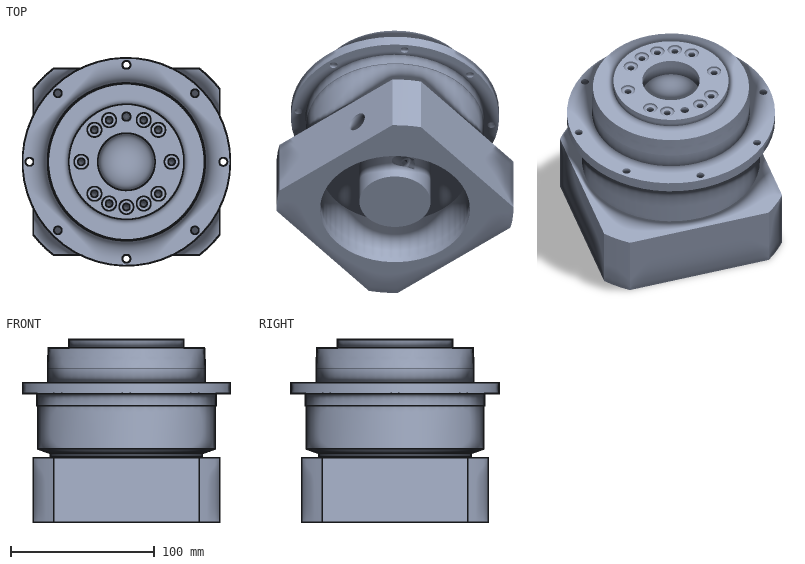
import cadquery as cq
import math

total_height = 127.5
flange_dia = 145.0
boss_dia = 80.2
shoulder_top_dia = 108.8
shoulder_dia = 110.0
collar_dia = 125.0
barrel_dia = 124.0
neck_dia = 106.0
spigot_dia = 104.4

spigot_bottom = 40.6
neck_bottom = 45.5
neck_top = 48.0
barrel_bottom = 51.2
collar_bottom = 81.0
flange_bottom = 89.6
flange_top = 97.3
taper_start = 107.5
shoulder_top = 121.5

block_height = 45.1
block_width = 130.0
block_corner_dia = 165.0
access_hole_dia = 14.0
access_hole_height = 23.5

flange_hole_dia = 5.5
flange_hole_circle = 135.0
flange_hole_count = 8
output_bore_dia = 40.0
output_bore_depth = 12.6
output_hole_circle = 63.0
tapped_hole_dia = 5.0
tapped_hole_depth = 13.0
drill_point_angle = 118.0
counterbore_dia = 10.0
counterbore_depth = 1.5
tapped_hole_angles = [0, 45, 67.5, 112.5, 135, 180, 225, 247.5, 270, 292.5, 315]
dowel_hole_angle = 90
dowel_hole_dia = 6.0
dowel_hole_depth = 7.2

hub_dia = 49.6
hub_bottom = 7.2
screw_y = -19.0
screw_height = 23.0
screw_seat_x = -7.4
screw_slot_width = 10.2
screw_head_dia = screw_slot_width
screw_head_height = 6.0
screw_head_chamfer = 1.0
screw_shank_dia = 6.0
screw_shank_length = 14.5
socket_flats = 5.1
socket_depth = 2.9


def cylinder_up(diameter, height, x=0.0, y=0.0, z=0.0):
    """Upright cylinder standing on height z."""
    return cq.Workplane("XY", origin=(x, y, z)).circle(diameter / 2).extrude(height)


def cylinder_along_x(diameter, length, x, y, z):
    """Cylinder that starts at x and runs toward +X."""
    return cq.Workplane("YZ", origin=(x, y, z)).circle(diameter / 2).extrude(length)


def on_circle(circle_dia, angle):
    """Point at the given angle in degrees on a circle about the Z axis."""
    turn = math.radians(angle)
    return circle_dia / 2 * math.cos(turn), circle_dia / 2 * math.sin(turn)


def make_round_stages():
    """Revolved gearbox case, from the neck up to the output boss."""
    profile = [
        (0, neck_bottom),
        (neck_dia / 2, neck_bottom),
        (neck_dia / 2, neck_top),
        (barrel_dia / 2, barrel_bottom),
        (barrel_dia / 2, collar_bottom),
        (collar_dia / 2, collar_bottom),
        (collar_dia / 2, flange_bottom),
        (flange_dia / 2, flange_bottom),
        (flange_dia / 2, flange_top),
        (shoulder_dia / 2, flange_top),
        (shoulder_dia / 2, taper_start),
        (shoulder_top_dia / 2, shoulder_top),
        (boss_dia / 2, shoulder_top),
        (boss_dia / 2, total_height),
        (0, total_height),
    ]
    return cq.Workplane("XZ").polyline(profile).close().revolve(360, (0, 0, 0), (0, 1, 0))


def make_tapped_hole_cutter(angle):
    """Shallow counterbore, drilled hole and its conical drill point."""
    x, y = on_circle(output_hole_circle, angle)
    radius = tapped_hole_dia / 2
    floor = total_height - tapped_hole_depth
    tip = floor - radius / math.tan(math.radians(drill_point_angle / 2))
    counterbore_floor = total_height - counterbore_depth
    profile = [
        (0, tip),
        (radius, floor),
        (radius, counterbore_floor),
        (counterbore_dia / 2, counterbore_floor),
        (counterbore_dia / 2, total_height),
        (0, total_height),
    ]
    cutter = cq.Workplane("XZ").polyline(profile).close().revolve(360, (0, 0, 0), (0, 1, 0))
    return cutter.translate((x, y, 0))


def make_clamp_hub():
    """Round hub below the spigot, with a round-ended slot that seats the screw head."""
    hub = cylinder_up(hub_dia, spigot_bottom - hub_bottom, z=hub_bottom)
    slot_length = hub_dia / 2
    slot_start_x = screw_seat_x - slot_length
    round_end = cylinder_along_x(screw_slot_width, slot_length, slot_start_x, screw_y, screw_height)
    open_end = cq.Workplane("XY").box(
        slot_length, slot_length, screw_slot_width, centered=(False, False, True)
    )
    open_end = open_end.translate((slot_start_x, screw_y - slot_length, screw_height))
    shank_hole = cylinder_along_x(screw_shank_dia, screw_shank_length, screw_seat_x, screw_y, screw_height)
    return hub.cut(round_end).cut(open_end).cut(shank_hole)


def make_gearbox():
    """Gearbox case with its clamp hub; its spigot enters the block and leaves the neck just clear of it."""
    spigot = cylinder_up(spigot_dia, neck_bottom - spigot_bottom, z=spigot_bottom)
    gearbox = make_round_stages().union(spigot).union(make_clamp_hub())

    for index in range(flange_hole_count):
        x, y = on_circle(flange_hole_circle, index * 360 / flange_hole_count)
        gearbox = gearbox.cut(cylinder_up(flange_hole_dia, flange_top - flange_bottom, x, y, flange_bottom))

    gearbox = gearbox.cut(
        cylinder_up(output_bore_dia, output_bore_depth, z=total_height - output_bore_depth)
    )
    for angle in tapped_hole_angles:
        gearbox = gearbox.cut(make_tapped_hole_cutter(angle))
    x, y = on_circle(output_hole_circle, dowel_hole_angle)
    return gearbox.cut(cylinder_up(dowel_hole_dia, dowel_hole_depth, x, y, total_height - dowel_hole_depth))


def make_motor_block():
    """Square block with a through bore; one large circle about the Z axis rounds its four corners."""
    block = cq.Workplane("XY").rect(block_width, block_width).extrude(block_height)
    block = block.intersect(cylinder_up(block_corner_dia, block_height))
    block = block.cut(cylinder_up(spigot_dia, block_height))
    return block.cut(
        cylinder_along_x(access_hole_dia, block_width / 2, -block_width / 2, screw_y, access_hole_height)
    )


def make_clamp_screw():
    """Socket head screw along X, its head facing -X."""
    head_top_x = screw_seat_x - screw_head_height
    head = cylinder_along_x(screw_head_dia, screw_head_height, head_top_x, screw_y, screw_height)
    head = head.faces("<X").chamfer(screw_head_chamfer)
    shank = cylinder_along_x(screw_shank_dia, screw_shank_length, screw_seat_x, screw_y, screw_height)
    corner_dia = socket_flats / math.cos(math.pi / 6)
    socket = cq.Workplane("YZ").polygon(6, corner_dia).extrude(socket_depth)
    socket = socket.rotate((0, 0, 0), (1, 0, 0), 90).translate((head_top_x, screw_y, screw_height))
    return head.union(shank).cut(socket)


gearbox = make_gearbox()
motor_block = make_motor_block()
clamp_screw = make_clamp_screw()

result = cq.Compound.makeCompound([gearbox.val(), motor_block.val(), clamp_screw.val()])